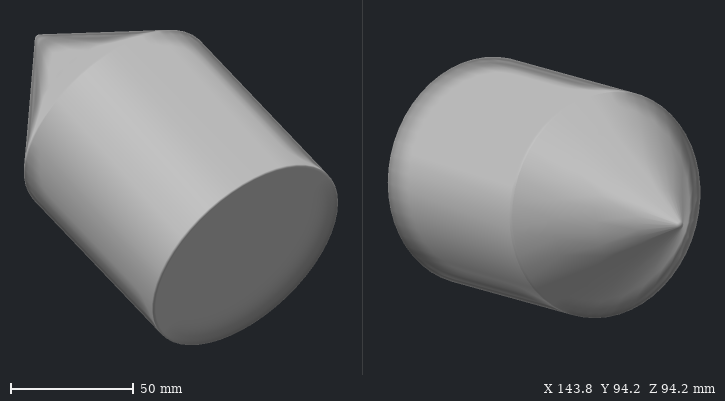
import cadquery as cq
import math

overall_length = 143.8
body_diameter = 94.2
rear_round = 1.0
cone_half_angle = math.radians(40.2)
tip_radius = 2.0
shoulder_radius = 2.0

body_radius = body_diameter / 2
rear_face_radius = body_radius - rear_round

apex_x = tip_radius - tip_radius / math.sin(cone_half_angle)
corner_x = apex_x + body_radius / math.tan(cone_half_angle)
shoulder_end_x = corner_x + shoulder_radius * math.tan(cone_half_angle / 2)

def arc_point(center_x, center_r, radius, angle):
    """Point on a profile arc, with the angle measured from the radial direction toward the tip."""
    return (center_x - radius * math.sin(angle), center_r + radius * math.cos(angle))

def tip_point(angle):
    return arc_point(tip_radius, 0, tip_radius, angle)

def shoulder_point(angle):
    return arc_point(shoulder_end_x, body_radius - shoulder_radius, shoulder_radius, angle)

def rear_point(angle):
    return arc_point(overall_length - rear_round, rear_face_radius, rear_round, angle)

tip_middle = (cone_half_angle + math.radians(90)) / 2
profile = (
    cq.Workplane("XY")
    .moveTo(0, 0)
    .threePointArc(tip_point(tip_middle), tip_point(cone_half_angle))
    .lineTo(*shoulder_point(cone_half_angle))
    .threePointArc(shoulder_point(cone_half_angle / 2), shoulder_point(0))
    .lineTo(overall_length - rear_round, body_radius)
    .threePointArc(rear_point(-math.radians(45)), (overall_length, rear_face_radius))
    .lineTo(overall_length, 0)
    .close()
)

result = profile.revolve(360, (0, 0, 0), (1, 0, 0))